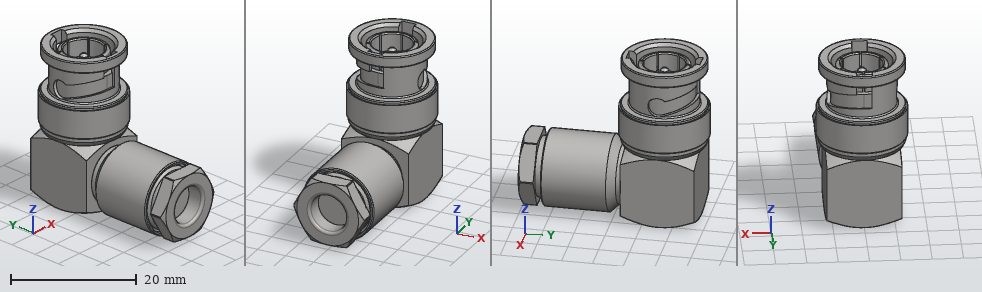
import cadquery as cq
import math


OVERALL_LENGTH = 30.0
EDGE_BREAK = 0.18

BODY_HALF = 6.0
BODY_CONE_ANGLE = 30.0

GRIP_RADIUS = 14.6 / 2
GRIP_LIP_RADIUS = 7.05
GRIP_TOP = 12.85
GRIP_BOTTOM = 7.95
GRIP_LIP_TOP = 13.35
SLEEVE_BOTTOM = 6.4
SLEEVE_BOTTOM_INSET = 0.35
SLEEVE_MID_INSET = 0.1
SLEEVE_MID_RISE = 0.45
SLEEVE_LIP_RISE = 0.72
BARREL_RADIUS = 5.65
BARREL_FOOT_HEIGHT = 0.2
BARREL_FOOT_FLARE = 0.2
FLANGE_RADIUS = 6.93
FLANGE_TOP = 21.3
FLANGE_BOTTOM = 18.85
FLANGE_CONE_RADIUS = 6.8
FLANGE_CONE_TOP = 19.35
NECK_RADIUS = 4.5
NECK_TAPER = 0.2

BORE_RADIUS = 4.95
BORE_MOUTH_RADIUS = 5.43
BORE_MOUTH_DEPTH = 0.55
SOCKET_FLOOR = 17.28
CONTACT_TOP = 20.45
CONTACT_OUTER_RADIUS = 4.2
CONTACT_INNER_RADIUS = 3.4
CONTACT_ROUND = 0.35
CONTACT_INNER_CHAMFER = 0.2
SLIT_WIDTH = 0.3
SLIT_COUNT = 6
PIN_RADIUS = 0.7
PIN_TIP_RADIUS = 0.25
PIN_TOP = 19.55
PIN_TIP_HEIGHT = 0.42

ENTRY_WIDTH = 2.5
ENTRY_REACH = 6.0
SLOT_FLOOR_RADIUS = 5.0
RAMP_WIDTH = 2.4
RAMP_ANGLE = math.radians(15.0)
POCKET_RADIUS = 1.62
POCKET_HEIGHT = 15.15

COLLAR_RADIUS = 4.95
COLLAR_CHAMFER = 0.15
CLAMP_RADIUS = 6.3
CLAMP_START = 7.0
CLAMP_END = 18.95
CLAMP_MOUTH_RADIUS = 5.85
CLAMP_MOUTH_DEPTH = 1.2
SPIGOT_CHAMFER = 0.45
NUT_START = 20.1
NUT_END = OVERALL_LENGTH - GRIP_RADIUS
NUT_FLATS = 11.0
NUT_CHAMFER_ANGLE = 30.0
CABLE_BORE_RADIUS = 3.2
CABLE_BORE_DEPTH = 3.0
CABLE_MOUTH_ROUND = 0.48


def turn_about_z(points):
    """Revolve an outline of (radius, height) points about the plug axis."""
    return cq.Workplane("XZ").polyline(points).close().revolve(360, (0, 0), (0, 1))


def turn_about_y(points):
    """Revolve an outline of (radius, distance along -Y) points about the cable axis."""
    outline = [(radius, -distance) for radius, distance in points]
    return cq.Workplane("XY").polyline(outline).close().revolve(360, (0, 0), (0, 1))


def make_body():
    """Cube whose top and bottom fall away as shallow cones towards the corners."""
    corner = BODY_HALF * math.sqrt(2) + EDGE_BREAK
    drop = (corner - BODY_HALF) * math.tan(math.radians(BODY_CONE_ANGLE))
    envelope = turn_about_z([
        (0, -BODY_HALF),
        (BODY_HALF, -BODY_HALF),
        (corner, drop - BODY_HALF),
        (corner, BODY_HALF - drop),
        (BODY_HALF, BODY_HALF),
        (0, BODY_HALF),
    ])
    side = 2 * BODY_HALF
    return cq.Workplane("XY").box(side, side, side).intersect(envelope)


def make_coupling():
    """Neck, grip ring, barrel and flange, bored from the top down to the socket floor."""
    grip_step = GRIP_RADIUS - GRIP_LIP_RADIUS
    return turn_about_z([
        (0, 0),
        (NECK_RADIUS - NECK_TAPER, 0),
        (NECK_RADIUS - NECK_TAPER, BODY_HALF),
        (NECK_RADIUS, SLEEVE_BOTTOM - EDGE_BREAK),
        (NECK_RADIUS, SLEEVE_BOTTOM),
        (GRIP_LIP_RADIUS - SLEEVE_BOTTOM_INSET, SLEEVE_BOTTOM),
        (GRIP_LIP_RADIUS - SLEEVE_MID_INSET, SLEEVE_BOTTOM + SLEEVE_MID_RISE),
        (GRIP_LIP_RADIUS, SLEEVE_BOTTOM + SLEEVE_LIP_RISE),
        (GRIP_LIP_RADIUS, GRIP_BOTTOM - grip_step),
        (GRIP_RADIUS, GRIP_BOTTOM),
        (GRIP_RADIUS, GRIP_TOP),
        (GRIP_LIP_RADIUS, GRIP_TOP),
        (GRIP_LIP_RADIUS, GRIP_LIP_TOP - EDGE_BREAK),
        (GRIP_LIP_RADIUS - EDGE_BREAK, GRIP_LIP_TOP),
        (BARREL_RADIUS + BARREL_FOOT_FLARE, GRIP_LIP_TOP),
        (BARREL_RADIUS, GRIP_LIP_TOP + BARREL_FOOT_HEIGHT),
        (BARREL_RADIUS, FLANGE_BOTTOM),
        (FLANGE_CONE_RADIUS, FLANGE_CONE_TOP),
        (FLANGE_RADIUS, FLANGE_CONE_TOP + EDGE_BREAK),
        (FLANGE_RADIUS, FLANGE_TOP - EDGE_BREAK),
        (FLANGE_RADIUS - EDGE_BREAK, FLANGE_TOP),
        (BORE_MOUTH_RADIUS, FLANGE_TOP),
        (BORE_RADIUS, FLANGE_TOP - BORE_MOUTH_DEPTH),
        (BORE_RADIUS, SOCKET_FLOOR),
        (0, SOCKET_FLOOR),
    ])


def make_bayonet_cut():
    """Entry slot at -Y, leading along a ramp to a locking pocket at -X."""
    ramp_rise = math.tan(RAMP_ANGLE)
    ramp_foot = POCKET_HEIGHT - POCKET_RADIUS / math.cos(RAMP_ANGLE)
    ramp_height = RAMP_WIDTH / math.cos(RAMP_ANGLE)
    ramp_end = ramp_foot + ENTRY_REACH * ramp_rise
    tangent_y = -POCKET_RADIUS * math.sin(RAMP_ANGLE)
    tangent_z = POCKET_HEIGHT - POCKET_RADIUS * math.cos(RAMP_ANGLE)

    half_entry = ENTRY_WIDTH / 2
    cut_length = ENTRY_REACH + half_entry
    ramp = (
        cq.Workplane("YZ", origin=(-ENTRY_REACH, 0, 0))
        .polyline([
            (tangent_y, tangent_z),
            (-ENTRY_REACH, ramp_end),
            (-ENTRY_REACH, ramp_end + ramp_height),
            (tangent_y, ramp_foot + ramp_height - tangent_y * ramp_rise),
        ])
        .close()
        .extrude(cut_length)
    )
    pocket = (
        cq.Workplane("YZ", origin=(-ENTRY_REACH, 0, 0))
        .center(0, POCKET_HEIGHT)
        .circle(POCKET_RADIUS)
        .extrude(ENTRY_REACH)
    )
    entry_bottom = ramp_end + ramp_height / 2
    entry = cq.Workplane("XY").box(
        ENTRY_WIDTH, ENTRY_REACH, FLANGE_TOP - entry_bottom, centered=(True, False, False)
    ).translate((0, -ENTRY_REACH, entry_bottom))
    core = cq.Workplane("XY").circle(SLOT_FLOOR_RADIUS).extrude(SOCKET_FLOOR)
    flat = cq.Workplane("XY").box(
        half_entry, SLOT_FLOOR_RADIUS, SOCKET_FLOOR, centered=False
    ).translate((0, -SLOT_FLOOR_RADIUS, 0))
    core = core.union(flat)
    return ramp.union(pocket).union(entry).cut(core)


def make_contact_sleeve():
    """Slit outer contact standing on the socket floor, with a rounded outer rim."""
    round_start = CONTACT_TOP - CONTACT_ROUND
    bulge = CONTACT_ROUND * math.sqrt(0.5)
    sleeve = (
        cq.Workplane("XZ")
        .moveTo(CONTACT_INNER_RADIUS, SOCKET_FLOOR)
        .lineTo(CONTACT_OUTER_RADIUS, SOCKET_FLOOR)
        .lineTo(CONTACT_OUTER_RADIUS, round_start)
        .threePointArc(
            (CONTACT_OUTER_RADIUS - CONTACT_ROUND + bulge, round_start + bulge),
            (CONTACT_OUTER_RADIUS - CONTACT_ROUND, CONTACT_TOP),
        )
        .lineTo(CONTACT_INNER_RADIUS + CONTACT_INNER_CHAMFER, CONTACT_TOP)
        .lineTo(CONTACT_INNER_RADIUS, CONTACT_TOP - CONTACT_INNER_CHAMFER)
        .close()
        .revolve(360, (0, 0), (0, 1))
    )
    slit = cq.Workplane("XY").box(
        SLIT_WIDTH, 2 * BORE_RADIUS, CONTACT_TOP - SOCKET_FLOOR, centered=(True, True, False)
    ).translate((0, 0, SOCKET_FLOOR))
    for index in range(SLIT_COUNT // 2):
        sleeve = sleeve.cut(slit.rotate((0, 0, 0), (0, 0, 1), index * 360 / SLIT_COUNT))
    return sleeve


def make_pin():
    """Centre contact with a tapered tip."""
    return turn_about_z([
        (0, 0),
        (PIN_RADIUS, 0),
        (PIN_RADIUS, PIN_TOP - PIN_TIP_HEIGHT),
        (PIN_TIP_RADIUS, PIN_TOP),
        (0, PIN_TOP),
    ])


def make_clamp():
    """Collar and turned clamp sleeve around the cable axis, with a groove around the nut's spigot."""
    cone_end = CLAMP_START + CLAMP_RADIUS - COLLAR_RADIUS
    return turn_about_y([
        (0, 0),
        (COLLAR_RADIUS - COLLAR_CHAMFER, 0),
        (COLLAR_RADIUS - COLLAR_CHAMFER, BODY_HALF),
        (COLLAR_RADIUS, BODY_HALF + COLLAR_CHAMFER),
        (COLLAR_RADIUS, CLAMP_START),
        (CLAMP_RADIUS, cone_end),
        (CLAMP_RADIUS, CLAMP_END - EDGE_BREAK),
        (CLAMP_RADIUS - EDGE_BREAK, CLAMP_END),
        (CLAMP_MOUTH_RADIUS, CLAMP_END),
        (CLAMP_MOUTH_RADIUS, CLAMP_END - CLAMP_MOUTH_DEPTH),
        (COLLAR_RADIUS + SPIGOT_CHAMFER, CLAMP_END - CLAMP_MOUTH_DEPTH),
        (COLLAR_RADIUS + SPIGOT_CHAMFER, CLAMP_END - SPIGOT_CHAMFER),
        (COLLAR_RADIUS, CLAMP_END),
        (COLLAR_RADIUS, NUT_START),
        (0, NUT_START),
    ])


def make_nut():
    """Hexagonal nut with corners trimmed to the clamp radius and a chamfered outer face."""
    corner_diameter = NUT_FLATS / math.cos(math.radians(30))
    hexagon = (
        cq.Workplane("XZ", origin=(0, -NUT_START, 0))
        .polygon(6, corner_diameter)
        .extrude(NUT_END - NUT_START)
    )
    face_radius = NUT_FLATS / 2
    chamfer_depth = (CLAMP_RADIUS - face_radius) * math.tan(math.radians(NUT_CHAMFER_ANGLE))
    envelope = turn_about_y([
        (0, NUT_START),
        (CLAMP_RADIUS, NUT_START),
        (CLAMP_RADIUS, NUT_END - chamfer_depth),
        (face_radius, NUT_END),
        (0, NUT_END),
    ])
    return hexagon.intersect(envelope)


def make_cable_bore():
    """Blind cable entry with a rounded mouth."""
    mouth_radius = CABLE_BORE_RADIUS + CABLE_MOUTH_ROUND
    bulge = CABLE_MOUTH_ROUND * math.sqrt(0.5)
    return (
        cq.Workplane("XY")
        .moveTo(0, -NUT_END)
        .lineTo(mouth_radius, -NUT_END)
        .threePointArc(
            (mouth_radius - bulge, -NUT_END + CABLE_MOUTH_ROUND - bulge),
            (CABLE_BORE_RADIUS, -NUT_END + CABLE_MOUTH_ROUND),
        )
        .lineTo(CABLE_BORE_RADIUS, -NUT_END + CABLE_BORE_DEPTH)
        .lineTo(0, -NUT_END + CABLE_BORE_DEPTH)
        .close()
        .revolve(360, (0, 0), (0, 1))
    )


coupling = make_coupling()
bayonet_cut = make_bayonet_cut()
for turn in (0, 180):
    coupling = coupling.cut(bayonet_cut.rotate((0, 0, 0), (0, 0, 1), turn))

plug = coupling.union(make_contact_sleeve()).union(make_pin())
cable_arm = make_clamp().union(make_nut()).cut(make_cable_bore())
result = make_body().union(plug).union(cable_arm)